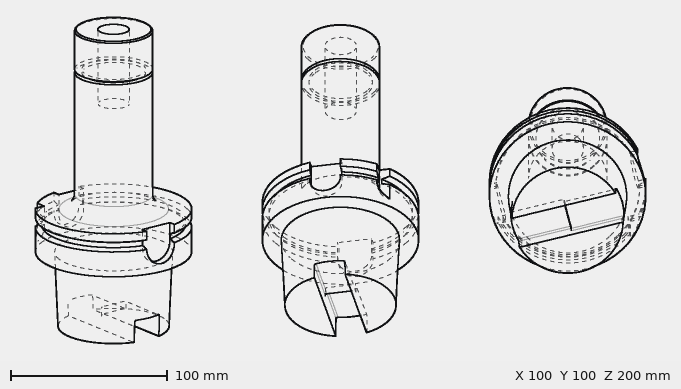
import cadquery as cq


shank_length = 50.0
shank_top_radius = 37.8
shank_end_radius = 35.5
drive_slot_width = 20.0
drive_slot_height = 10.0
deep_drive_slot_height = 15.0
drive_slot_fillet = 1.2

flange_radius = 50.0
flange_height = 29.0
groove_floor_radius = 46.0
groove_middle_z = 20.0
groove_floor_height = 3.5
groove_mouth_height = 6.5

notch_depth_x = 44.0
left_notch_radius = 10.0
right_notch_radius = 11.2
notch_bottom_z = 5.5
corner_notch_offset = 31.5
corner_notch_radius = 10.0

overall_length = 200.0
nose_top_z = overall_length - shank_length
nose_radius = 25.0
nose_cove_radius = 10.0
nose_chamfer = 1.0
cap_height = 26.8
neck_height = 2.2
neck_radius = 20.5
bore_radius = 10.0
bore_depth = 50.0


def revolved_body():
    """Shank, flange, cove and nose as one profile turned about Z."""
    mouth_low = groove_middle_z - groove_mouth_height / 2
    mouth_high = groove_middle_z + groove_mouth_height / 2
    floor_low = groove_middle_z - groove_floor_height / 2
    floor_high = groove_middle_z + groove_floor_height / 2
    cap_bottom = nose_top_z - cap_height
    neck_bottom = cap_bottom - neck_height
    cove_top = flange_height + nose_cove_radius
    return (
        cq.Workplane("XZ")
        .moveTo(0, -shank_length)
        .lineTo(shank_end_radius, -shank_length)
        .lineTo(shank_top_radius, 0)
        .lineTo(flange_radius, 0)
        .lineTo(flange_radius, mouth_low)
        .lineTo(groove_floor_radius, floor_low)
        .lineTo(groove_floor_radius, floor_high)
        .lineTo(flange_radius, mouth_high)
        .lineTo(flange_radius, flange_height)
        .lineTo(nose_radius + nose_cove_radius, flange_height)
        .radiusArc((nose_radius, cove_top), nose_cove_radius)
        .lineTo(nose_radius, neck_bottom)
        .lineTo(neck_radius, neck_bottom)
        .lineTo(neck_radius, cap_bottom)
        .lineTo(nose_radius, cap_bottom)
        .lineTo(nose_radius, nose_top_z - nose_chamfer)
        .lineTo(nose_radius - nose_chamfer, nose_top_z)
        .lineTo(0, nose_top_z)
        .close()
        .revolve(360, (0, 0, 0), (0, 1, 0))
    )


def round_bottom_notch(x_start, x_end, y_center, radius):
    """Cutter along X with a half-round bottom, open through the flange top."""
    center_z = notch_bottom_z + radius
    return (
        cq.Workplane("YZ", origin=(x_start, y_center, 0))
        .moveTo(-radius, flange_height)
        .lineTo(-radius, center_z)
        .threePointArc((0, notch_bottom_z), (radius, center_z))
        .lineTo(radius, flange_height)
        .close()
        .extrude(x_end - x_start)
    )


def drive_slot(x_start, x_end, height):
    """Cutter along X for a drive slot open at the shank end, with rounded top corners."""
    return (
        cq.Workplane("XY", origin=(x_start, 0, -shank_length))
        .box(x_end - x_start, drive_slot_width, height, centered=(False, True, False))
        .edges("|X and >Z")
        .fillet(drive_slot_fillet)
    )


result = revolved_body()

bore = cq.Workplane("XY", origin=(0, 0, nose_top_z - bore_depth)).circle(bore_radius).extrude(bore_depth)
result = result.cut(bore)

corner_notch_y = -corner_notch_offset - corner_notch_radius
result = result.cut(round_bottom_notch(-flange_radius, -notch_depth_x, 0, left_notch_radius))
result = result.cut(round_bottom_notch(notch_depth_x, flange_radius, 0, right_notch_radius))
result = result.cut(
    round_bottom_notch(-flange_radius, -corner_notch_offset, corner_notch_y, corner_notch_radius)
)

result = result.cut(drive_slot(-flange_radius, flange_radius, drive_slot_height))
result = result.cut(drive_slot(0, flange_radius, deep_drive_slot_height))